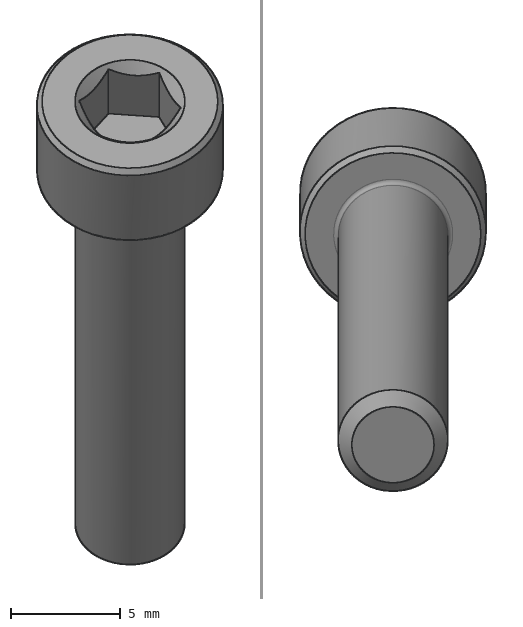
import cadquery as cq
import math

total_length = 30
head_diameter = 8.5
head_height = 5.0
shank_diameter = 5.0

head_top_chamfer = 0.25
bearing_chamfer = 0.25
bearing_diameter = head_diameter - 2 * bearing_chamfer
neck_fillet = 0.2
tip_chamfer_width = 0.63
tip_chamfer_height = 0.5

socket_across_flats = 4.02
socket_depth = 3.3
socket_mouth_diameter = 5.0
socket_mouth_depth = 0.5

top_z = total_length / 2
bottom_z = -total_length / 2
bearing_z = top_z - head_height
head_radius = head_diameter / 2
shank_radius = shank_diameter / 2


def make_body():
    """Revolve the half profile of head, neck fillet, shank and tip."""
    fillet_offset = neck_fillet * (1 - math.sqrt(0.5))
    profile = (
        cq.Workplane("XZ")
        .moveTo(0, bottom_z)
        .lineTo(shank_radius - tip_chamfer_width, bottom_z)
        .lineTo(shank_radius, bottom_z + tip_chamfer_height)
        .lineTo(shank_radius, bearing_z - neck_fillet)
        .threePointArc(
            (shank_radius + fillet_offset, bearing_z - fillet_offset),
            (shank_radius + neck_fillet, bearing_z),
        )
        .lineTo(bearing_diameter / 2, bearing_z)
        .lineTo(head_radius, bearing_z + bearing_chamfer)
        .lineTo(head_radius, top_z - head_top_chamfer)
        .lineTo(head_radius - head_top_chamfer, top_z)
        .lineTo(0, top_z)
        .close()
    )
    return profile.revolve(360, (0, 0, 0), (0, 1, 0))


def make_socket():
    """Hexagonal pocket with corners on the Y axis, plus its conical mouth."""
    across_corners = socket_across_flats / math.cos(math.pi / 6)
    hexagon = (
        cq.Workplane("XY")
        .workplane(offset=top_z)
        .transformed(rotate=(0, 0, 90))
        .polygon(6, across_corners)
        .extrude(-socket_depth)
    )
    mouth_radius = socket_mouth_diameter / 2
    mouth = cq.Workplane(
        cq.Solid.makeCone(
            socket_across_flats / 2,
            mouth_radius,
            socket_mouth_depth,
            pnt=cq.Vector(0, 0, top_z - socket_mouth_depth),
        )
    )
    return hexagon.union(mouth)


result = make_body().cut(make_socket())